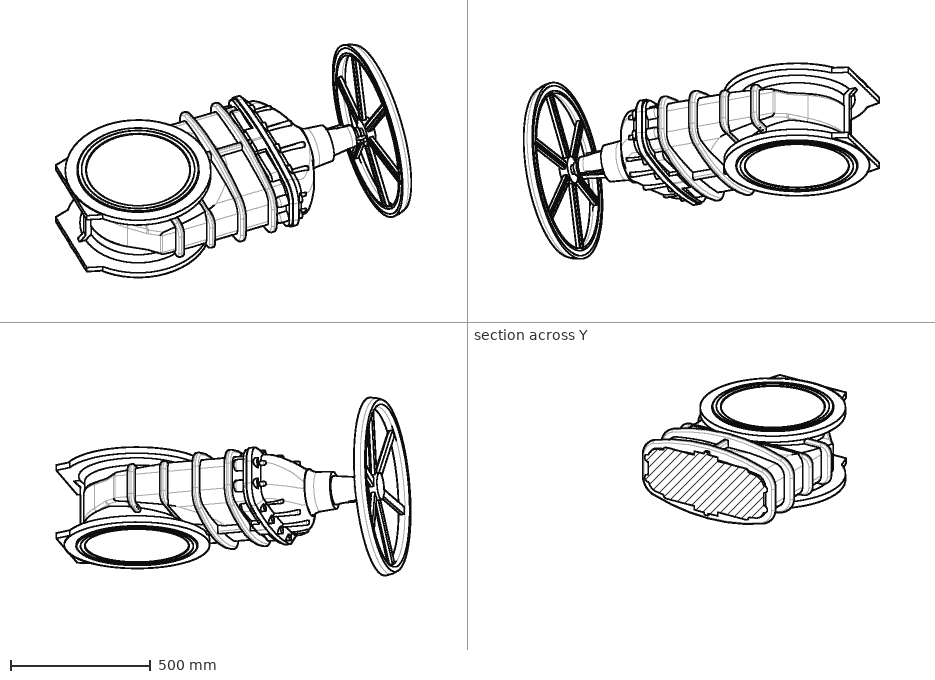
import cadquery as cq
import math


FACE_HALF = 145.0
RAISED_HEIGHT = 3.5
FLANGE_RADIUS = 260.0
FLANGE_BACK = 118.0
RAISED_RADIUS = 218.0
RAISED_DRAFT = 3.0
SEAT_RADIUS = 202.0
SEAT_DEPTH = 1.0
BORE_RADIUS = 187.0
BORE_DEPTH = 3.0
BORE_DRAFT = 2.0
PIPE_HALF = 98.0
PIPE_FLARE_RADIUS = 208.0
FOOT_HALF_WIDTH = 142.0
FOOT_TOP_HALF_WIDTH = 160.0
FOOT_TOP_Y = -205.0
FOOT_INSET = 3.0
FLANGE_FRONT = FACE_HALF - RAISED_HEIGHT

BODY_HALF_X = 249.0
BODY_HALF_Z = 100.0
BODY_CORNER = 43.5
FLAT_HALF_Z = 41.0
BODY_BOTTOM = -188.5
BAND_RADIUS = 219.0
BAND_ANGLE = 41.0
BAND_END_HALF_Z = 64.0
WAIST_Y = -50.0
WAIST_HALF_Z = 48.0
TAPER_TOP_Y = 328.0
BODY_EDGE_ROUND = 10.0

RIB_TOP_Y = 411.0
RIB_PITCH = 120.0
RIB_THICKNESS = 22.0
RIB_ROUND = 8.0
RIB_HALF_X = 282.0
TALL_RIB_HALF_Z = 142.0
TALL_RIB_CORNER = 68.0
LOW_RIB_HALF_Z = 81.0
LOW_RIB_CORNER = 38.0
WEB_WIDTH = 19.0
WEB_HALF_Z = 124.0
WEB_ROUND = 6.0
WEB_BOTTOM_Y = -207.0
WEB_GUSSET = 24.0

BODY_FLANGE_BOTTOM = 470.0
JOINT_Y = 483.0
JOINT_TOP = 503.0
BONNET_FLANGE_HALF_X = 282.0
BONNET_FLANGE_HALF_Z = 130.0
BONNET_FLANGE_CORNER = 69.0
BODY_FLANGE_INSET = 6.0
PAD_BOTTOM = 431.0
PAD_CHAMFER = 9.0
MID_PAD_HALF_X = 59.0
SIDE_PAD_END_X = 192.0
SIDE_PAD_HALF_Z = 109.0
SIDE_PAD_ROUND = 22.0
END_BOSS_X = 249.0
END_BOSS_Z = 39.0
END_BOSS_RADIUS = 21.0

SPOT_RADIUS = 19.0
SPOT_TOP = 521.0
RIDGE_RADIUS = 10.5
INNER_BOLT = (60.0, 105.0, 90.0, 622.0)
OUTER_BOLT = (169.0, 95.0, 80.0, 590.0)
END_SPOT_X = 257.0
RIDGE_ROUND = 9.0
END_RIDGE_X = 244.0
END_RIDGE_TOP = 548.0

DOME_BASE_Y = 528.0
DOME_SECTIONS = [
    (DOME_BASE_Y, BODY_HALF_X, 93.0, 42.0, FLAT_HALF_Z),
    (563.0, 239.0, 93.0, 42.0, 40.0),
    (586.0, 210.0, 92.0, 45.0, 36.0),
    (608.0, 176.0, 90.0, 48.0, 30.0),
    (625.0, 136.0, 86.0, 52.0, 23.0),
    (645.0, 88.0, 79.0, 60.0, 11.0),
]
NECK_TOP = 733.0
NECK_RADIUS = 67.0
NECK_FLARE_Y = 674.0
NECK_FLARE_RADIUS = 71.5
NECK_FLARE_MID = (75.0, 659.0)
NECK_BASE_Y = 645.0
NECK_BASE_RADIUS = 85.0

HOUSING_TOP = 833.0
HOUSING_STEP_Y = 815.0
HOUSING_RADIUS = 41.0
HOUSING_BASE_RADIUS = 52.0
LEDGE_X = -16.0
LEDGE_TOP_HALF_Z = 31.0
LEDGE_BASE_HALF_Z = 38.0
POST_WIDTH = 14.0
POST_TOP = 805.0
POST_HALF_Z = 40.0
GLAND_RADIUS = 22.0
COLLAR_BOTTOM = 847.0
COLLAR_TOP = 859.0
COLLAR_RADIUS = 23.5
STEM_RADIUS = 17.0
TAB_START_X = 25.0
TAB_END_X = 39.0
TAB_COLLAR_END_X = 42.0
TAB_WIDTH = 18.0

WHEEL_TOP = 930.0
RIM_BOTTOM = 892.0
RIM_CHAMFER_Y = 914.0
RIM_RADIUS = 320.0
RIM_INNER_RADIUS = 281.0
RIM_DRAFT = 4.0
RIM_CHAMFER = 11.0
GROOVE_OUTER = 308.0
GROOVE_INNER = 290.0
GROOVE_DEPTH = 11.0
HUB_RADIUS = 49.0
HUB_BOTTOM = 871.0
HUB_TOP = 903.0
SPOKE_COUNT = 6
SPOKE_WIDTH = 29.0
SPOKE_RIB_WIDTH = 12.0
SPOKE_START = 40.0
SPOKE_END = 286.0
SPOKE_THICKNESS = 13.0
SPOKE_RIB_HEIGHT = 7.0

SIDES = (-1, 1)
OVERLAP = 5.0


def section(plane, half_x, half_z, corner, flat):
    """Closed outline of tangent flat ends, rounded corners and bowed broad faces."""
    corner_x = half_x - corner
    rise = half_z - flat
    bow = (corner_x**2 + rise**2 - corner**2) / (2 * (rise - corner))
    bow_centre = half_z - bow
    reach = math.hypot(corner_x, flat - bow_centre)
    unit_x = corner_x / reach
    unit_z = (flat - bow_centre) / reach
    join_x = bow * unit_x
    join_z = bow_centre + bow * unit_z
    middle = math.atan2(unit_z, unit_x) / 2
    mid_x = corner_x + corner * math.cos(middle)
    mid_z = flat + corner * math.sin(middle)
    return (
        plane.moveTo(half_x, -flat)
        .lineTo(half_x, flat)
        .threePointArc((mid_x, mid_z), (join_x, join_z))
        .threePointArc((0, half_z), (-join_x, join_z))
        .threePointArc((-mid_x, mid_z), (-half_x, flat))
        .lineTo(-half_x, -flat)
        .threePointArc((-mid_x, -mid_z), (-join_x, -join_z))
        .threePointArc((0, -half_z), (join_x, -join_z))
        .threePointArc((mid_x, -mid_z), (half_x, -flat))
        .close()
    )


def across(y):
    """Work plane across the stem axis at height y, with local axes X and Z."""
    return cq.Workplane("XZ", origin=(0, y, 0))


def slab(y0, y1, *shape):
    """Rounded section extruded along the stem axis."""
    return section(across(y1), *shape).extrude(y1 - y0)


def rod(y0, y1, radius, x=0.0, z=0.0):
    return across(y1).center(x, z).circle(radius).extrude(y1 - y0)


def block(x0, x1, y0, y1, z0, z1):
    return cq.Workplane("XY").box(x1 - x0, y1 - y0, z1 - z0, centered=False).translate((x0, y0, z0))


def turned(points):
    """Solid of revolution about the stem axis from (radius, height) points."""
    return cq.Workplane("XY").polyline(points).close().revolve(360, (0, 0, 0), (0, 1, 0))


def end_flange():
    """One end flange on the +Z side with its foot, raised face and seat."""
    thickness = FLANGE_FRONT - FLANGE_BACK
    plate = cq.Workplane("XY", origin=(0, 0, FLANGE_BACK)).circle(FLANGE_RADIUS).extrude(thickness)
    foot = (
        cq.Workplane("XY", origin=(0, 0, FLANGE_BACK))
        .polyline([
            (-FOOT_HALF_WIDTH, -FLANGE_RADIUS),
            (FOOT_HALF_WIDTH, -FLANGE_RADIUS),
            (FOOT_TOP_HALF_WIDTH, FOOT_TOP_Y),
            (-FOOT_TOP_HALF_WIDTH, FOOT_TOP_Y),
        ])
        .close()
        .extrude(thickness - FOOT_INSET)
    )
    face = (
        cq.Workplane("XZ")
        .polyline([
            (0, PIPE_HALF),
            (BORE_RADIUS, PIPE_HALF),
            (PIPE_FLARE_RADIUS, FLANGE_BACK),
            (RAISED_RADIUS, FLANGE_FRONT),
            (RAISED_RADIUS - RAISED_DRAFT, FACE_HALF),
            (SEAT_RADIUS, FACE_HALF),
            (SEAT_RADIUS, FACE_HALF - SEAT_DEPTH),
            (BORE_RADIUS, FACE_HALF - SEAT_DEPTH),
            (BORE_RADIUS - BORE_DRAFT, FACE_HALF - BORE_DEPTH),
            (0, FACE_HALF - BORE_DEPTH),
        ])
        .close()
        .revolve(360, (0, 0, 0), (0, 1, 0))
    )
    return plate.union(foot).union(face)


def pipe():
    flange = end_flange()
    tube = cq.Workplane("XY").circle(BORE_RADIUS).extrude(PIPE_HALF, both=True)
    return tube.union(flange).union(flange.mirror("XY"))


def body():
    """Gate housing: bowed section, narrowed towards the bore and rounded below it."""
    angle = math.radians(BAND_ANGLE)
    tangent_x = BAND_RADIUS * math.cos(angle)
    tangent_y = BODY_BOTTOM + BAND_RADIUS * (1 - math.sin(angle))
    side_end_y = tangent_y + (BODY_HALF_X - tangent_x) / math.tan(angle)
    outline = (
        cq.Workplane("XY")
        .moveTo(-BODY_HALF_X, BODY_FLANGE_BOTTOM)
        .lineTo(-BODY_HALF_X, side_end_y)
        .lineTo(-tangent_x, tangent_y)
        .threePointArc((0, BODY_BOTTOM), (tangent_x, tangent_y))
        .lineTo(BODY_HALF_X, side_end_y)
        .lineTo(BODY_HALF_X, BODY_FLANGE_BOTTOM)
        .close()
        .extrude(BODY_HALF_Z + OVERLAP, both=True)
    )
    slope = (BODY_HALF_Z - WAIST_HALF_Z) / (TAPER_TOP_Y - WAIST_Y)
    top_half_z = BODY_HALF_Z + slope * (BODY_FLANGE_BOTTOM - TAPER_TOP_Y)
    taper = (
        cq.Workplane("YZ")
        .polyline([
            (BODY_FLANGE_BOTTOM, -top_half_z),
            (BODY_FLANGE_BOTTOM, top_half_z),
            (WAIST_Y, WAIST_HALF_Z),
            (BODY_BOTTOM, BAND_END_HALF_Z),
            (BODY_BOTTOM, -BAND_END_HALF_Z),
            (WAIST_Y, -WAIST_HALF_Z),
        ])
        .close()
        .extrude(BODY_HALF_X, both=True)
    )
    core = slab(BODY_BOTTOM, BODY_FLANGE_BOTTOM, BODY_HALF_X, BODY_HALF_Z, BODY_CORNER, FLAT_HALF_Z)
    housing_body = core.intersect(outline).intersect(taper)
    reach = BODY_HALF_X + OVERLAP
    low_edges = cq.selectors.BoxSelector(
        (-reach, BODY_BOTTOM - OVERLAP, -BODY_HALF_Z),
        (reach, side_end_y + OVERLAP, BODY_HALF_Z),
    )
    return housing_body.edges(low_edges).fillet(BODY_EDGE_ROUND)


def rib(index, half_z, corner):
    top = RIB_TOP_Y - index * RIB_PITCH + RIB_THICKNESS / 2
    plate = slab(top - RIB_THICKNESS, top, RIB_HALF_X, half_z, corner, FLAT_HALF_Z)
    return plate.faces("<Y or >Y").edges().fillet(RIB_ROUND)


def ribs():
    """Two tall ribs around the upper body and two low ones beside the pipe, top to bottom."""
    tall = (TALL_RIB_HALF_Z, TALL_RIB_CORNER)
    low = (LOW_RIB_HALF_Z, LOW_RIB_CORNER)
    all_ribs = cq.Workplane("XY")
    for index, shape in enumerate((tall, tall, low, low)):
        all_ribs = all_ribs.union(rib(index, *shape))
    return all_ribs


def webs():
    """Central web along the body, and the web with two gussets below the pipe."""
    half = WEB_WIDTH / 2
    upper = block(-half, half, 0, JOINT_Y, -WEB_HALF_Z, WEB_HALF_Z).edges("|Y").fillet(WEB_ROUND)
    gusset_z = FLANGE_BACK - WEB_GUSSET
    lower = (
        cq.Workplane("YZ", origin=(-half, 0, 0))
        .polyline([
            (0, -FLANGE_BACK),
            (WEB_BOTTOM_Y - WEB_GUSSET, -FLANGE_BACK),
            (WEB_BOTTOM_Y, -gusset_z),
            (WEB_BOTTOM_Y, gusset_z),
            (WEB_BOTTOM_Y - WEB_GUSSET, FLANGE_BACK),
            (0, FLANGE_BACK),
        ])
        .close()
        .extrude(WEB_WIDTH)
    )
    return upper.union(lower)


def body_flange(bottom):
    return slab(
        bottom, JOINT_Y,
        BONNET_FLANGE_HALF_X - BODY_FLANGE_INSET, BONNET_FLANGE_HALF_Z - BODY_FLANGE_INSET,
        BONNET_FLANGE_CORNER - BODY_FLANGE_INSET, FLAT_HALF_Z,
    )


def joint():
    """Body flange with the bonnet flange on it, flared up to the bonnet wall."""
    lower = body_flange(BODY_FLANGE_BOTTOM)
    rim_shape = (BONNET_FLANGE_HALF_X, BONNET_FLANGE_HALF_Z, BONNET_FLANGE_CORNER, FLAT_HALF_Z)
    upper = slab(JOINT_Y, JOINT_TOP, *rim_shape)
    flare = loft_sections([(JOINT_TOP,) + rim_shape, DOME_SECTIONS[0]], True)
    return lower.union(upper).union(flare)


def loft_sections(sections, ruled):
    wires = [section(across(y), *shape).wire().val() for y, *shape in sections]
    return cq.Workplane(cq.Solid.makeLoft(wires, ruled))


def pads():
    """Bolting pads under the body flange: stepped blocks on the broad faces, round bosses at the ends."""
    side = block(-SIDE_PAD_END_X, SIDE_PAD_END_X, PAD_BOTTOM, JOINT_Y, -SIDE_PAD_HALF_Z, SIDE_PAD_HALF_Z)
    side = side.edges("|Y").fillet(SIDE_PAD_ROUND).faces("<Y").chamfer(PAD_CHAMFER)
    reach = BONNET_FLANGE_HALF_Z
    middle = block(-MID_PAD_HALF_X, MID_PAD_HALF_X, PAD_BOTTOM, JOINT_Y, -reach, reach)
    middle = middle.intersect(body_flange(PAD_BOTTOM))
    all_pads = side.union(middle.faces("<Y").chamfer(PAD_CHAMFER))
    for side_x in SIDES:
        for side_z in SIDES:
            boss = rod(PAD_BOTTOM, JOINT_Y, END_BOSS_RADIUS, side_x * END_BOSS_X, side_z * END_BOSS_Z)
            all_pads = all_pads.union(boss.faces("<Y").fillet(PAD_CHAMFER))
    return all_pads


def ridge(top, x, z):
    return rod(JOINT_Y, top, RIDGE_RADIUS, x, z).faces(">Y").fillet(RIDGE_ROUND)


def bolt_spots():
    """Round bolt spots on the bonnet flange, each with a ridge running up the bonnet."""
    spots = cq.Workplane("XY")
    for side_x in SIDES:
        for side_z in SIDES:
            for x, spot_z, ridge_z, ridge_top in (INNER_BOLT, OUTER_BOLT):
                spots = spots.union(rod(JOINT_Y, SPOT_TOP, SPOT_RADIUS, side_x * x, side_z * spot_z))
                spots = spots.union(ridge(ridge_top, side_x * x, side_z * ridge_z))
            end_z = side_z * END_BOSS_Z
            spots = spots.union(rod(JOINT_Y, SPOT_TOP, SPOT_RADIUS, side_x * END_SPOT_X, end_z))
            spots = spots.union(ridge(END_RIDGE_TOP, side_x * END_RIDGE_X, end_z))
    return spots


def neck():
    return (
        cq.Workplane("XY")
        .moveTo(0, NECK_BASE_Y)
        .lineTo(NECK_BASE_RADIUS, NECK_BASE_Y)
        .threePointArc(NECK_FLARE_MID, (NECK_FLARE_RADIUS, NECK_FLARE_Y))
        .lineTo(NECK_RADIUS, NECK_TOP)
        .lineTo(0, NECK_TOP)
        .close()
        .revolve(360, (0, 0, 0), (0, 1, 0))
    )


def housing():
    """Tapered stem housing, cut back to a flat ledge with a post on each side at -X."""
    cone = turned([
        (0, NECK_TOP - OVERLAP),
        (HOUSING_BASE_RADIUS, NECK_TOP - OVERLAP),
        (HOUSING_BASE_RADIUS, NECK_TOP),
        (HOUSING_RADIUS, HOUSING_STEP_Y),
        (HOUSING_RADIUS, HOUSING_TOP),
        (0, HOUSING_TOP),
    ])
    ledge = (
        cq.Workplane("YZ", origin=(LEDGE_X, 0, 0))
        .polyline([
            (NECK_TOP, LEDGE_BASE_HALF_Z),
            (HOUSING_TOP, LEDGE_TOP_HALF_Z),
            (HOUSING_TOP, HOUSING_BASE_RADIUS),
            (NECK_TOP, HOUSING_BASE_RADIUS),
        ])
        .close()
        .extrude(-HOUSING_BASE_RADIUS)
    )
    post = block(LEDGE_X - POST_WIDTH, LEDGE_X, NECK_TOP - OVERLAP, POST_TOP, -POST_HALF_Z, POST_HALF_Z)
    return cone.cut(ledge).cut(ledge.mirror("XY")).union(post)


def stem():
    """Gland, collar and stem, with a tab on the +X side reaching up to the wheel hub."""
    parts = rod(HOUSING_TOP - OVERLAP, COLLAR_BOTTOM, GLAND_RADIUS)
    parts = parts.union(rod(COLLAR_BOTTOM, COLLAR_TOP, COLLAR_RADIUS))
    parts = parts.union(rod(COLLAR_TOP, HUB_TOP, STEM_RADIUS))
    half = TAB_WIDTH / 2
    tab = block(TAB_START_X, TAB_END_X, HOUSING_TOP - OVERLAP, HUB_TOP, -half, half)
    bridge = block(0, TAB_COLLAR_END_X, COLLAR_BOTTOM, COLLAR_TOP, -half, half)
    return parts.union(tab).union(bridge)


def spoke(angle):
    """One spoke: a sloping flat bar with a narrow rib along its lower side."""
    rise = RIM_BOTTOM - HUB_BOTTOM

    def bar(width, bottom, height):
        return (
            cq.Workplane("XY")
            .polyline([
                (SPOKE_START, bottom),
                (SPOKE_END, bottom + rise),
                (SPOKE_END, bottom + rise + height),
                (SPOKE_START, bottom + height),
            ])
            .close()
            .extrude(width / 2, both=True)
        )

    flat_bar = bar(SPOKE_WIDTH, HUB_BOTTOM + SPOKE_RIB_HEIGHT, SPOKE_THICKNESS)
    rib_bar = bar(SPOKE_RIB_WIDTH, HUB_BOTTOM, SPOKE_RIB_HEIGHT + SPOKE_THICKNESS)
    return flat_bar.union(rib_bar).rotate((0, 0, 0), (0, 1, 0), angle)


def handwheel():
    rim = (
        cq.Workplane("XY")
        .moveTo(RIM_RADIUS, RIM_BOTTOM)
        .lineTo(RIM_RADIUS - RIM_DRAFT, RIM_CHAMFER_Y)
        .lineTo(RIM_RADIUS - RIM_CHAMFER, WHEEL_TOP)
        .lineTo(RIM_INNER_RADIUS + RIM_CHAMFER, WHEEL_TOP)
        .lineTo(RIM_INNER_RADIUS + RIM_DRAFT, RIM_CHAMFER_Y)
        .lineTo(RIM_INNER_RADIUS, RIM_BOTTOM)
        .lineTo(GROOVE_INNER, RIM_BOTTOM)
        .threePointArc(
            ((GROOVE_INNER + GROOVE_OUTER) / 2, RIM_BOTTOM + GROOVE_DEPTH),
            (GROOVE_OUTER, RIM_BOTTOM),
        )
        .close()
        .revolve(360, (0, 0, 0), (0, 1, 0))
    )
    wheel = rim.union(rod(HUB_BOTTOM, HUB_TOP, HUB_RADIUS))
    for index in range(SPOKE_COUNT):
        wheel = wheel.union(spoke(index * 360 / SPOKE_COUNT))
    return wheel


result = (
    body()
    .union(pipe())
    .union(webs())
    .union(ribs())
    .union(pads())
    .union(joint())
    .union(loft_sections(DOME_SECTIONS, False))
    .union(bolt_spots())
    .union(neck())
    .union(housing())
    .union(stem())
    .union(handwheel())
)